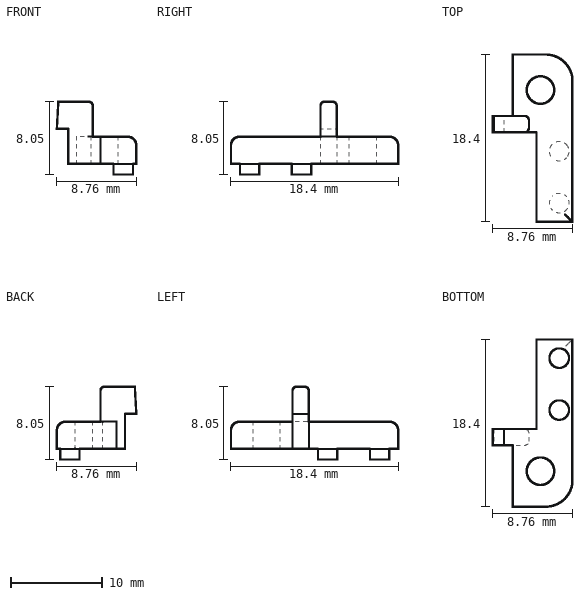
import cadquery as cq
import math

length = 18.41
head_width = 6.57
arm_width = 3.95
plate_height = 3.0
edge_radius = 1.0

corner_radius = 3.0
corner_inset = 2.96

hole_diameter = 3.0
hole_x = -3.52
hole_y = 14.49

tab_y = 9.83
tab_thickness = 1.82
tab_foot_x = -7.51
tab_tip_x = -8.76
tab_lean = 0.17
tab_inner_x = -4.79
tab_step_z = 3.83
tab_top_z = 6.85
tab_radius = 0.5

pin_diameter = 2.15
pin_length = 1.2
pin_x = -1.45
pin_positions_y = (2.06, 7.77)


def make_plate():
    """L-shaped plate with the foot of the tab, rounded over along its end, long side and head."""
    corner_y = length - corner_radius
    arc_end_y = corner_y + math.sqrt(corner_radius**2 - corner_inset**2)
    mid_angle = (math.pi / 2 + math.acos(corner_inset / corner_radius)) / 2
    arc_middle = (
        -corner_inset + corner_radius * math.cos(mid_angle),
        corner_y + corner_radius * math.sin(mid_angle),
    )
    plate = (
        cq.Workplane("XY")
        .moveTo(-arm_width, 0)
        .lineTo(0, 0)
        .lineTo(0, arc_end_y)
        .threePointArc(arc_middle, (-corner_inset, length))
        .lineTo(-head_width, length)
        .lineTo(-head_width, tab_y + tab_thickness)
        .lineTo(tab_foot_x, tab_y + tab_thickness)
        .lineTo(tab_foot_x, tab_y)
        .lineTo(-arm_width, tab_y)
        .close()
        .extrude(plate_height)
    )
    rounded_sides = (
        plate.faces(">Z").edges("<Y or >X or >Y")
        .add(plate.faces(">Z").edges("%CIRCLE"))
    )
    return rounded_sides.fillet(edge_radius)


def make_tab():
    """Upright tab with an overhanging tip and a rounded top."""
    tab_back_y = tab_y + tab_thickness
    tab = (
        cq.Workplane("XZ", origin=(0, tab_back_y, 0))
        .moveTo(tab_foot_x, 0)
        .lineTo(tab_inner_x, 0)
        .lineTo(tab_inner_x, tab_top_z)
        .lineTo(tab_tip_x + tab_lean, tab_top_z)
        .lineTo(tab_tip_x, tab_step_z)
        .lineTo(tab_foot_x, tab_step_z)
        .close()
        .extrude(tab_thickness)
    )
    top_edges = tab.faces(">Z").edges("|X or >X")
    return top_edges.add(tab.faces(">X").edges("|Z")).fillet(tab_radius)


def make_pins():
    """Round pins hanging from the underside of the arm."""
    centres = [(pin_x, y) for y in pin_positions_y]
    return cq.Workplane("XY").pushPoints(centres).circle(pin_diameter / 2).extrude(-pin_length)


hole = cq.Workplane("XY").center(hole_x, hole_y).circle(hole_diameter / 2).extrude(plate_height)

result = make_plate().union(make_tab()).union(make_pins()).cut(hole)